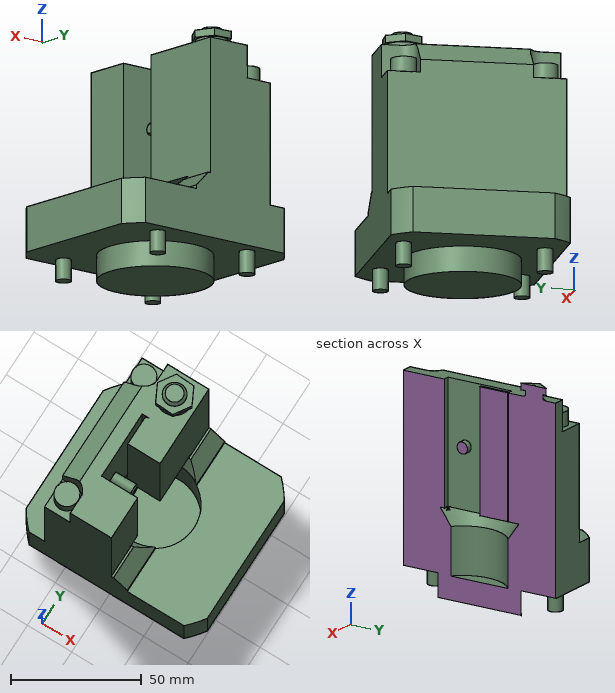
import cadquery as cq
import math


plate_length = 82.0
plate_width = 70.0
plate_height = 17.9
plate_corner_radius = 49.5
spigot_diameter = 45.0
spigot_depth = 10.0

wall_back_x = -28.0
wall_front_x = 2.2
wall_top_z = 79.2
bevel_size = 8.0
step_z = 25.6
step_flat = 1.0
step_front_x = 9.4
step_slope = step_front_x - wall_front_x - step_flat

bore_diameter = 35.0
bore_radius = bore_diameter / 2
bore_floor_z = 0.0
cone_half_angle = 30.0
cone_bottom_z = 20.0

slot_back_x = -14.1
slot_min_y = -16.1
slot_max_y = 13.0
block_back_x = -12.5
block_min_y = 0.0
block_corner_length = 1.4
block_corner_width = 0.5

stop_pin_diameter = 5.0
stop_pin_chamfer = 0.7
stop_pin_end_x = -4.1
stop_pin_y = -8.0
stop_pin_z = 52.7

screw_x = 22.5
screw_y = 27.6
screw_head_diameter = 10.0
screw_head_height = 6.0
screw_shank_diameter = 6.0
long_shank_depth = 9.0
short_shank_depth = 8.3
pocket_floor_z = 66.2
pocket_front_x = -16.4
pocket_inner_y = 22.05
pocket_corner_radius = 5.85

stud_x = -7.0
stud_y = 25.0
collar_diameter = 12.6
collar_height = 2.2
collar_skirt_diameter = 14.0
collar_skirt_height = 0.4
nut_across_flats = 14.0
nut_height = 2.9
nut_turn = 27.0
stud_diameter = 9.5
overall_height = 95.9
stud_top_z = overall_height - spigot_depth
stud_taper_height = 1.4
stud_taper_inset = 1.15


def cylinder(diameter, x, y, bottom_z, top_z):
    """Upright cylinder between two heights."""
    base = cq.Workplane("XY", origin=(x, y, bottom_z))
    return base.circle(diameter / 2).extrude(top_z - bottom_z)


def box_between(low, high):
    """Box spanning two opposite corners."""
    size = [b - a for a, b in zip(low, high)]
    return cq.Workplane("XY", origin=low).box(*size, centered=False)


def base_plate():
    """Rectangular plate whose corners are turned to a common radius."""
    plate = box_between(
        (-plate_length / 2, -plate_width / 2, 0), (plate_length / 2, plate_width / 2, plate_height)
    )
    plate = plate.intersect(cylinder(2 * plate_corner_radius, 0, 0, 0, plate_height))
    return plate.union(cylinder(spigot_diameter, 0, 0, -spigot_depth, plate_height))


def wall():
    """Upright wall with a bevelled top edge and a sloped step at its foot."""
    profile = [
        (wall_back_x, 0),
        (wall_back_x, wall_top_z - bevel_size),
        (wall_back_x + bevel_size, wall_top_z),
        (wall_front_x, wall_top_z),
        (wall_front_x, step_z),
        (wall_front_x + step_flat, step_z),
        (step_front_x, step_z - step_slope),
        (step_front_x, 0),
    ]
    return cq.Workplane("XZ").polyline(profile).close().extrude(plate_width / 2, both=True)


def corner_pocket(side):
    """Open pocket around a screw head, with one rounded inner corner."""
    pocket = box_between(
        (wall_back_x, pocket_inner_y, pocket_floor_z), (pocket_front_x, plate_width / 2, wall_top_z)
    )
    pocket = pocket.edges("|Z and >X and <Y").fillet(pocket_corner_radius)
    return pocket if side > 0 else pocket.mirror("XZ")


def bore():
    """Blind bore whose mouth flares until it reaches the far corner of the slot."""
    cone_top_radius = math.hypot(slot_back_x, slot_min_y)
    cone_height = (cone_top_radius - bore_radius) / math.tan(math.radians(cone_half_angle))
    profile = [
        (0, bore_floor_z),
        (bore_radius, bore_floor_z),
        (bore_radius, cone_bottom_z),
        (cone_top_radius, cone_bottom_z + cone_height),
        (0, cone_bottom_z + cone_height),
    ]
    return cq.Workplane("XZ").polyline(profile).close().revolve(360, (0, 0), (0, 1))


def slot():
    """L-shaped slot from the top of the wall down into the bore."""
    outline = [
        (wall_front_x, slot_min_y),
        (slot_back_x, slot_min_y),
        (slot_back_x, slot_max_y),
        (block_back_x + block_corner_length, slot_max_y),
        (block_back_x, slot_max_y - block_corner_width),
        (block_back_x, block_min_y),
        (wall_front_x, block_min_y),
    ]
    base = cq.Workplane("XY", origin=(0, 0, step_z))
    return base.polyline(outline).close().extrude(wall_top_z - step_z)


def stop_pin():
    """Horizontal pin standing out of the slot's back face."""
    pin = cq.Workplane("YZ", origin=(slot_back_x, stop_pin_y, stop_pin_z))
    pin = pin.circle(stop_pin_diameter / 2).extrude(stop_pin_end_x - slot_back_x)
    return pin.faces(">X").chamfer(stop_pin_chamfer)


def stud():
    """Skirted collar, hexagon nut and tapered stud end."""
    collar = cylinder(collar_diameter, stud_x, stud_y, wall_top_z, wall_top_z + collar_height)
    skirt_profile = [
        (0, 0),
        (collar_skirt_diameter / 2, 0),
        (collar_diameter / 2, collar_skirt_height),
        (0, collar_skirt_height),
    ]
    skirt = cq.Workplane("XZ", origin=(stud_x, stud_y, wall_top_z)).polyline(skirt_profile).close()
    skirt = skirt.revolve(360, (0, 0), (0, 1))
    nut = cq.Workplane("XY").polygon(6, nut_across_flats, circumscribed=True).extrude(nut_height)
    nut = nut.rotate((0, 0, 0), (0, 0, 1), nut_turn)
    nut = nut.translate((stud_x, stud_y, wall_top_z + collar_height))
    end = cylinder(stud_diameter, stud_x, stud_y, wall_top_z, stud_top_z)
    end = end.faces(">Z").chamfer(stud_taper_height, stud_taper_inset)
    return collar.union(skirt).union(nut).union(end)


result = base_plate().union(wall())
result = result.cut(bore()).cut(slot())
head_top_z = pocket_floor_z + screw_head_height
for side in (-1, 1):
    result = result.cut(corner_pocket(side))
    result = result.union(
        cylinder(screw_head_diameter, -screw_x, side * screw_y, pocket_floor_z, head_top_z)
    )
    for x, depth in ((-screw_x, long_shank_depth), (screw_x, short_shank_depth)):
        result = result.union(cylinder(screw_shank_diameter, x, side * screw_y, -depth, plate_height))
result = result.union(stop_pin()).union(stud())